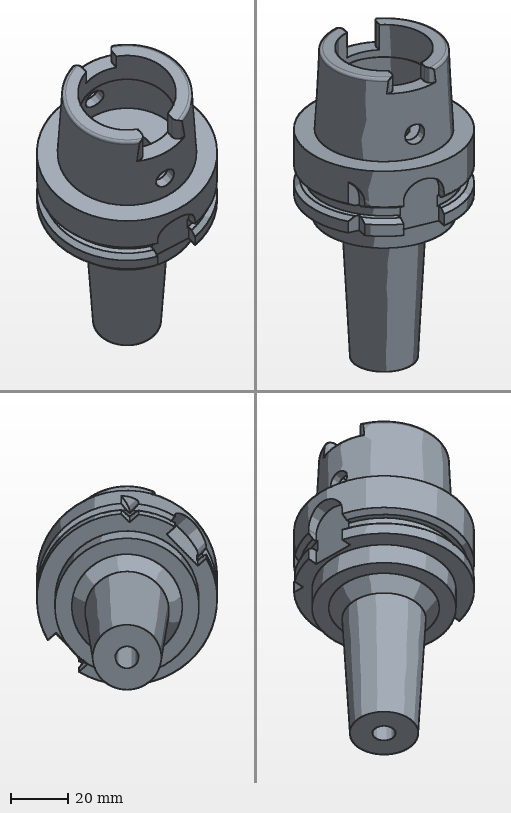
import cadquery as cq
import math

total_height = 122.0
nose_top = 51.0
collar_bottom = 56.1
flange_bottom = 64.2
groove_bottom = 70.2
groove_top = 74.3
flange_top = 89.9
rim_chamfer_height = 1.5

nose_tip_radius = 12.0
nose_root_radius = 14.6
cone_top_radius = 19.3
collar_radius = 25.1
flange_radius = 31.5
groove_radius = 27.5
rim_chamfer_width = 2.1
shank_root_radius = 24.3
shank_taper = 0.05
shank_top_radius = shank_root_radius - shank_taper * (total_height - flange_top)
shank_rim_fillet = 1.2

bore_radius = 17.1
undercut_radius = 20.3
undercut_depth = 12.8
undercut_angle = 60.0
bore_floor = flange_top
seat_radius = 9.0
seat_floor = 80.5
through_radius = 4.0
cross_hole_radius = 3.8
cross_hole_height = 99.1

key_half_width = 6.3
key_land_reach = 20.9
key_corner_radius = 2.6
shallow_key_depth = 6.0
deep_key_depth = 10.0

slot_radius = 7.9
slot_arc_height = 77.2
slot_floor_reach = 26.5
notch_floor_reach = 20.0
notch_offset = 27.9


def make_body():
    rim_radius = flange_radius - rim_chamfer_width
    outline = [
        (0, 0),
        (nose_tip_radius, 0),
        (nose_root_radius, nose_top),
        (cone_top_radius, collar_bottom),
        (collar_radius, collar_bottom),
        (collar_radius, flange_bottom),
        (flange_radius, flange_bottom),
        (flange_radius, groove_bottom - rim_chamfer_height),
        (rim_radius, groove_bottom),
        (groove_radius, groove_bottom),
        (groove_radius, groove_top),
        (rim_radius, groove_top),
        (flange_radius, groove_top + rim_chamfer_height),
        (flange_radius, flange_top),
        (shank_root_radius, flange_top),
        (shank_top_radius, total_height),
        (0, total_height),
    ]
    body = cq.Workplane("XZ").polyline(outline).close().revolve(360, (0, 0), (0, 1))
    return body.faces(">Z").edges().fillet(shank_rim_fillet)


def make_bores():
    """Stepped bore with a clamping undercut, open at both ends."""
    undercut_edge = total_height - undercut_depth
    undercut_rise = (undercut_radius - bore_radius) / math.tan(math.radians(undercut_angle))
    outline = [
        (0, 0),
        (through_radius, 0),
        (through_radius, seat_floor),
        (seat_radius, seat_floor),
        (seat_radius, bore_floor),
        (undercut_radius, bore_floor),
        (undercut_radius, undercut_edge - undercut_rise),
        (bore_radius, undercut_edge),
        (bore_radius, total_height),
        (0, total_height),
    ]
    return cq.Workplane("XZ").polyline(outline).close().revolve(360, (0, 0), (0, 1))


def make_key_slot(side, depth):
    """Slot through one wall of the shank that also trims the land ends flat."""
    channel = (
        cq.Workplane("XY", origin=(0, 0, total_height - depth))
        .moveTo(side * flange_radius / 2, 0)
        .rect(flange_radius, 2 * key_half_width)
        .extrude(depth)
    )
    end_flat = (
        cq.Workplane("XY", origin=(0, 0, total_height - depth))
        .moveTo(side * (key_land_reach + flange_radius) / 2, 0)
        .rect(flange_radius - key_land_reach, 2 * flange_radius)
        .extrude(depth)
    )
    inner_corners = cq.selectors.BoxSelector(
        (side * (key_land_reach - key_corner_radius), -shank_root_radius / 2, 0),
        (side * (key_land_reach + key_corner_radius), shank_root_radius / 2, total_height),
    )
    return channel.union(end_flat).edges("|Z").edges(inner_corners).fillet(key_corner_radius)


def make_flange_slot(side, floor_reach, offset):
    """Round-topped slot cut along X, running out of the flange's lower face."""
    return (
        cq.Workplane("YZ", origin=(side * floor_reach, 0, 0))
        .moveTo(offset - slot_radius, flange_bottom)
        .lineTo(offset - slot_radius, slot_arc_height)
        .threePointArc((offset, slot_arc_height + slot_radius), (offset + slot_radius, slot_arc_height))
        .lineTo(offset + slot_radius, flange_bottom)
        .close()
        .extrude(side * flange_radius)
    )


cross_hole = (
    cq.Workplane("YZ")
    .center(0, cross_hole_height)
    .circle(cross_hole_radius)
    .extrude(flange_radius, both=True)
)

result = make_body().cut(make_bores()).cut(cross_hole)
for side, key_depth in ((-1, shallow_key_depth), (1, deep_key_depth)):
    result = result.cut(make_key_slot(side, key_depth))
    result = result.cut(make_flange_slot(side, slot_floor_reach, 0))
result = result.cut(make_flange_slot(-1, notch_floor_reach, notch_offset))